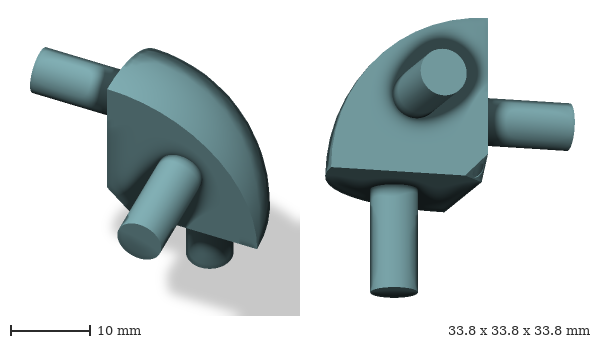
import cadquery as cq

overall_size = 33.8
outer_radius = 20.5
shell_thickness = 1.5
core_radius = outer_radius - shell_thickness

pin_diameter = 6.0
pin_length = overall_size - outer_radius
pin_near_offset = 9.5
pin_far_offset = 10.0

corner_leg = 3.0
recess_diameter = 2.0
recess_depth = 0.1

pin_mounts = [
    ((-1, 0, 0), (0, pin_near_offset, pin_far_offset)),
    ((0, -1, 0), (pin_far_offset, 0, pin_near_offset)),
    ((0, 0, -1), (pin_far_offset, pin_near_offset, 0)),
]


def sphere_octant(radius):
    """Eighth of a ball, centred on the origin, in the region of positive X, Y and Z."""
    ball = cq.Workplane("XY").sphere(radius)
    positive_region = cq.Workplane("XY").box(radius, radius, radius, centered=False)
    return ball.intersect(positive_region)


def corner_cutter():
    """Tetrahedron that takes the corner at the origin off with equal legs."""
    tip = cq.Vector(0, 0, 0)
    on_x = cq.Vector(corner_leg, 0, 0)
    on_y = cq.Vector(0, corner_leg, 0)
    on_z = cq.Vector(0, 0, corner_leg)
    triangles = [(tip, on_x, on_y), (tip, on_y, on_z), (tip, on_z, on_x), (on_x, on_y, on_z)]
    faces = [cq.Face.makeFromWires(cq.Wire.makePolygon(t, close=True)) for t in triangles]
    return cq.Solid.makeSolid(cq.Shell.makeShell(faces))


def recess_cutter():
    """Disc sunk into the cut-off corner, square to it and at its middle."""
    facet_middle = corner_leg / 3
    inward = cq.Vector(1, 1, 1)
    centre = cq.Vector(facet_middle, facet_middle, facet_middle)
    return cq.Solid.makeCylinder(recess_diameter / 2, recess_depth, centre, inward)


def make_core():
    """Inner block with the cut-off corner and its recess."""
    block = sphere_octant(core_radius)
    block = block.cut(cq.Workplane(corner_cutter()))
    return block.cut(cq.Workplane(recess_cutter()))


def make_shell():
    """Spherical cover of even thickness over the round side of the core."""
    return sphere_octant(outer_radius).cut(sphere_octant(core_radius))


def make_pin(direction, foot):
    """Round pin that stands on a flat face of the core."""
    return cq.Solid.makeCylinder(pin_diameter / 2, pin_length, cq.Vector(*foot), cq.Vector(*direction))


core = make_core()
shell = make_shell()
pins = [make_pin(direction, foot) for direction, foot in pin_mounts]

result = cq.Compound.makeCompound([core.solids().val(), shell.solids().val(), *pins])